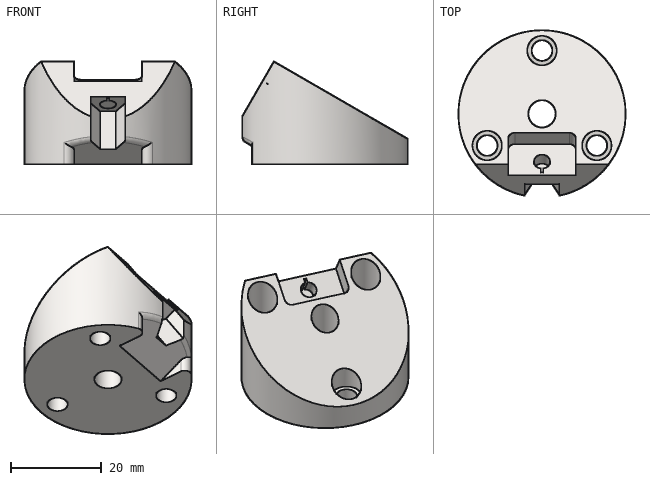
import cadquery as cq
import math

body_diameter = 37.0
body_radius = body_diameter / 2
ridge_height = 22.75
ridge_y = -11.1
top_slope = 30.0
oversize = 2 * body_diameter

center_hole_diameter = 6.0
screw_hole_diameter = 4.5
screw_head_diameter = 6.5
screw_circle_radius = 14.0
screw_count = 3
screw_seat_height = 5.0

pocket_width = 14.98
pocket_length = 8.0
pocket_depth = 5.0
corner_radius = 1.5

keyhole_diameter = 3.55
keyhole_setback = 3.5
keyhole_slit_width = 0.6
keyhole_slit_reach = 2.75
membrane_thickness = 0.05

groove_width = 7.7
groove_inner_width = 3.45
groove_depth = 6.5
groove_straight_depth = 2.8
groove_roof_depth = 9.0

recess_width = pocket_width
recess_ceiling_depth = 18.6
recess_edge_radius = 1.48
selection_margin = 0.37


def sloped_plane(depth):
    """Plane parallel to the top, below the ridge; local +Y runs away from the front face."""
    angle = math.radians(top_slope)
    inward = (0, math.sin(angle), math.cos(angle))
    origin = (0, ridge_y - depth * inward[1], ridge_height - depth * inward[2])
    return cq.Plane(origin=origin, xDir=(1, 0, 0), normal=inward)


def make_body():
    cylinder = cq.Workplane("XY").circle(body_radius).extrude(ridge_height)
    envelope = (
        cq.Workplane(sloped_plane(0))
        .rect(oversize, oversize)
        .extrude(-oversize)
        .translate(sloped_plane(0).yDir * (oversize / 2))
    )
    return cylinder.intersect(envelope)


def cut_recess(body):
    recess = (
        cq.Workplane(sloped_plane(recess_ceiling_depth))
        .rect(recess_width, oversize)
        .extrude(-oversize)
    )
    body = body.cut(recess)
    half_width = recess_width / 2
    rim_y = -math.sqrt(body_radius**2 - half_width**2)
    rim_box = cq.selectors.BoxSelector(
        (-half_width - selection_margin, -body_radius - selection_margin, selection_margin),
        (half_width + selection_margin, rim_y + selection_margin, ridge_height / 3),
    )
    return body.edges(rim_box).fillet(recess_edge_radius)


def make_pocket():
    half_width = pocket_width / 2
    straight_end = pocket_length - corner_radius
    return (
        cq.Workplane(sloped_plane(pocket_depth))
        .moveTo(-half_width, -pocket_length)
        .lineTo(-half_width, straight_end)
        .radiusArc((-half_width + corner_radius, pocket_length), corner_radius)
        .lineTo(half_width - corner_radius, pocket_length)
        .radiusArc((half_width, straight_end), corner_radius)
        .lineTo(half_width, -pocket_length)
        .close()
        .extrude(body_radius)
    )


def make_keyhole():
    depth = groove_roof_depth - pocket_depth - membrane_thickness
    plane = sloped_plane(pocket_depth)
    bore = cq.Workplane(plane).center(0, keyhole_setback).circle(keyhole_diameter / 2).extrude(-depth)
    slit = (
        cq.Workplane(plane)
        .center(0, keyhole_setback - keyhole_slit_reach / 2)
        .rect(keyhole_slit_width, keyhole_slit_reach)
        .extrude(-depth)
    )
    return bore.union(slit)


def make_groove():
    outer = groove_width / 2
    inner = groove_inner_width / 2
    outline = [
        (-outer, -body_radius),
        (-outer, groove_straight_depth),
        (-inner, groove_depth),
        (inner, groove_depth),
        (outer, groove_straight_depth),
        (outer, -body_radius),
    ]
    return cq.Workplane(sloped_plane(groove_roof_depth)).polyline(outline).close().extrude(-body_radius)


def make_screw_circle(diameter, bottom):
    return (
        cq.Workplane("XY", origin=(0, 0, bottom))
        .polarArray(screw_circle_radius, 90, 360, screw_count)
        .circle(diameter / 2)
        .extrude(ridge_height)
    )


def make_vertical_holes():
    center_hole = cq.Workplane("XY").circle(center_hole_diameter / 2).extrude(ridge_height)
    shanks = make_screw_circle(screw_hole_diameter, 0)
    heads = make_screw_circle(screw_head_diameter, screw_seat_height)
    return center_hole.union(shanks).union(heads)


result = cut_recess(make_body())
for cutter in (make_pocket(), make_keyhole(), make_groove(), make_vertical_holes()):
    result = result.cut(cutter)